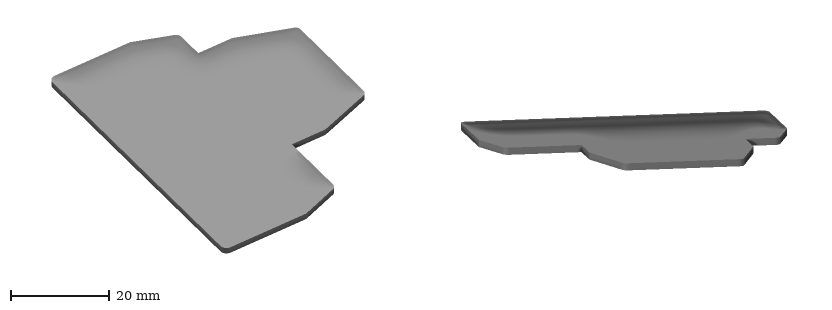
import cadquery as cq

width = 64
depth = 51.0
thickness = 1.5

shoulder_height = 29.6
side_height = 20.0
shoulder_width = 56.95

neck_center = -4.4
neck_width = 34.05
neck_height = 37.9
top_width = 24.7

taper_radius = 1.3
front_radius = 1.5

neck_left = neck_center - neck_width / 2
neck_right = neck_center + neck_width / 2
top_left = neck_center - top_width / 2
top_right = neck_center + top_width / 2
outline = [
    (-width / 2, 0),
    (width / 2, 0),
    (width / 2, side_height),
    (shoulder_width / 2, shoulder_height),
    (neck_right, shoulder_height),
    (neck_right, neck_height),
    (top_right, depth),
    (top_left, depth),
    (neck_left, neck_height),
    (neck_left, shoulder_height),
    (-shoulder_width / 2, shoulder_height),
    (-width / 2, side_height),
]

plate = cq.Workplane("XY").polyline(outline).close().extrude(thickness)


def round_corners(body, x_places, y, radius):
    """Round the vertical edges at (x, y) for each of the x places."""
    reach = 0.05
    for x in x_places:
        corner = cq.selectors.BoxSelector(
            (x - reach, y - reach, -reach),
            (x + reach, y + reach, thickness + reach),
        )
        body = body.edges("|Z").edges(corner).fillet(radius)
    return body


plate = round_corners(plate, (-width / 2, width / 2), 0, front_radius)
plate = round_corners(plate, (-shoulder_width / 2, shoulder_width / 2), shoulder_height, taper_radius)
plate = round_corners(plate, (top_left, top_right), depth, taper_radius)

result = plate